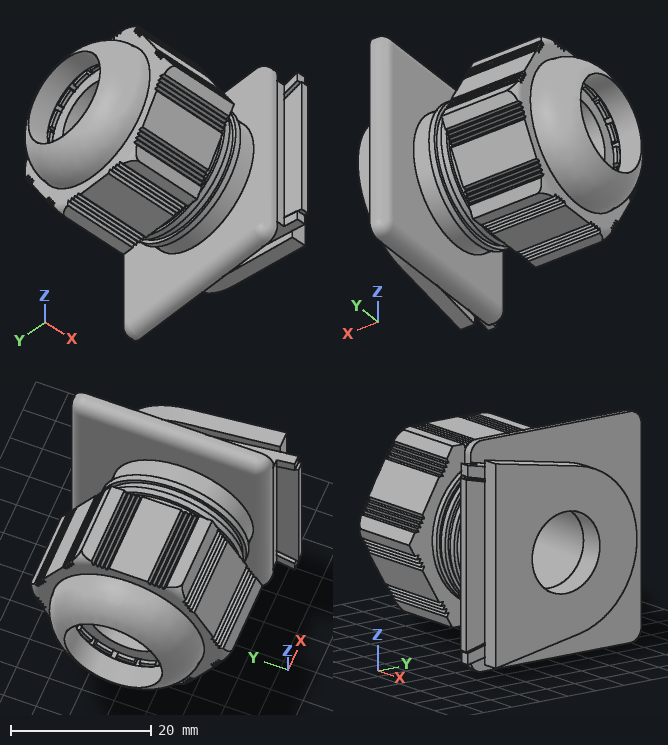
import cadquery as cq
import math


mouth_depth = 3.7
finger_front = 4.75
seal_front = 5.35
hex_front = 5.82
finger_root = 8.0
nut_back = 18.66
flange_front = 26.88
flange_back = 29.6
foot_back = 32.46
neck_back = 32.7
gland_length = 35.26

mouth_diameter = 15.0
dome_face_radius = mouth_diameter / 2
dome_base_radius = 11.65
across_flats = 26.8
flat_count = 6
corner_rounding = 1.65
notch_pitch = 0.69
notches_per_group = 4
notch_start = 2.0

cable_diameter = 12.1
seal_diameter = 16.55
finger_ring_diameter = 18.05
finger_count = 15
finger_gap = 0.8

tube_diameter = 21.51
thread_diameter = 22.67
thread_width = 0.95
thread_starts = (nut_back, 20.71, 22.83)

flange_height = 34.15
flange_y_max = 17.76
flange_y_min = -12.77
flange_rounding = 2.0

foot_radius = 11.1
foot_centre_y = 0.4
foot_taper = 12.0
foot_plate_thickness = 1.4
foot_end_y = -12.7
tab_end_y = -15.48
pocket_radius = 18.05 / 2
pocket_taper = 13.5
pad_height = 0.4
pad_radius = 11.1
pad_half_width = 9.04

neck_radius = 8.5
neck_taper = 14.0
neck_end_y = -15.9
lock_radius = 12.58
lock_centre_y = 0.1
lock_taper = 10.3
lock_end_y = -12.57


def cylinder(diameter, start, end):
    """Solid cylinder on the gland axis between two stations."""
    return cq.Workplane("YZ", origin=(start, 0, 0)).circle(diameter / 2).extrude(end - start)


def tapered_plate(radius, centre_y, taper, end_y, start, end):
    """Plate with a round top whose tangent sides spread by the taper angle down to end_y."""
    angle = math.radians(taper)
    tangent_y = centre_y + radius * math.sin(angle)
    tangent_z = radius * math.cos(angle)
    end_z = tangent_z + (tangent_y - end_y) * math.tan(angle)
    return (
        cq.Workplane("YZ", origin=(start, 0, 0))
        .moveTo(end_y, -end_z)
        .lineTo(tangent_y, -tangent_z)
        .threePointArc((centre_y + radius, 0), (tangent_y, tangent_z))
        .lineTo(end_y, end_z)
        .close()
        .extrude(end - start)
    )


def make_hexagon():
    """Hexagonal grip with V notches near its corners and rounded front corners."""
    length = nut_back - hex_front
    corner_radius = across_flats / 2 / math.cos(math.pi / flat_count)
    grip = (
        cq.Workplane("YZ", origin=(hex_front, 0, 0))
        .polygon(flat_count, 2 * corner_radius)
        .extrude(length)
    )
    envelope = cylinder(2 * corner_radius, hex_front, nut_back).faces("<X").edges().fillet(corner_rounding)
    grip = grip.intersect(envelope)

    flat_z = across_flats / 2
    notch_depth = notch_pitch * math.sqrt(3) / 2
    group_width = notches_per_group * notch_pitch
    half_side = corner_radius / 2
    for group_start in (-half_side + notch_start, half_side - notch_start - group_width):
        outline = cq.Workplane("YZ", origin=(hex_front, 0, 0)).moveTo(group_start, flat_z)
        for notch in range(notches_per_group):
            left = group_start + notch * notch_pitch
            outline = outline.lineTo(left + notch_pitch / 2, flat_z - notch_depth)
            outline = outline.lineTo(left + notch_pitch, flat_z)
        cutter = (
            outline.lineTo(group_start + group_width, flat_z + notch_depth)
            .lineTo(group_start, flat_z + notch_depth)
            .close()
            .extrude(length)
        )
        for flat in range(flat_count):
            turn = flat * 360 / flat_count
            grip = grip.cut(cutter.rotate((0, 0, 0), (1, 0, 0), turn))
    return grip


def make_nut():
    """Domed clamping nut, bored to fit over the fingers and the tube."""
    rise = dome_base_radius - dome_face_radius
    arc_radius = (hex_front**2 + rise**2) / (2 * rise)
    arc_centre = dome_base_radius - arc_radius
    half_angle = math.asin(hex_front / arc_radius) / 2
    arc_middle = (
        hex_front - arc_radius * math.sin(half_angle),
        arc_centre + arc_radius * math.cos(half_angle),
    )
    dome = (
        cq.Workplane("XY")
        .moveTo(0, 0)
        .lineTo(0, dome_face_radius)
        .threePointArc(arc_middle, (hex_front, dome_base_radius))
        .lineTo(hex_front, 0)
        .close()
        .revolve(360, (0, 0, 0), (1, 0, 0))
    )
    return (
        dome.union(make_hexagon())
        .cut(cylinder(mouth_diameter, 0, mouth_depth))
        .cut(cylinder(finger_ring_diameter, mouth_depth, finger_root))
        .cut(cylinder(tube_diameter, finger_root, nut_back))
    )


def make_seal():
    """Sealing sleeve around the cable."""
    return cylinder(seal_diameter, seal_front, nut_back).cut(cylinder(cable_diameter, seal_front, nut_back))


def make_tube():
    """Solid tube with thread ridges and a smaller front end for the clamping fingers."""
    tube = cylinder(tube_diameter, finger_root, flange_front)
    for start in thread_starts:
        tube = tube.union(cylinder(thread_diameter, start, start + thread_width))
    return tube.union(cylinder(finger_ring_diameter, finger_front, finger_root))


def make_flange():
    """Rectangular flange with its front and corner edges rounded."""
    return (
        cq.Workplane("XY")
        .box(
            flange_back - flange_front,
            flange_y_max - flange_y_min,
            flange_height,
            centered=(False, False, True),
        )
        .translate((flange_front, flange_y_min, 0))
        .edges("|X")
        .fillet(flange_rounding)
        .faces("<X")
        .edges()
        .fillet(flange_rounding)
    )


def make_foot():
    """Tapered foot with a pocket for the lock neck and a low pad on the pocket floor."""
    floor = flange_back + foot_plate_thickness
    plate = tapered_plate(foot_radius, foot_centre_y, foot_taper, foot_end_y, flange_back, floor)
    rim = tapered_plate(foot_radius, foot_centre_y, foot_taper, tab_end_y, floor, foot_back)
    pocket = tapered_plate(pocket_radius, 0, pocket_taper, tab_end_y, floor, foot_back)

    pad_flat_y = -math.sqrt(pad_radius**2 - pad_half_width**2)
    pad_top = floor + pad_height
    pad = (
        cq.Workplane("YZ", origin=(floor, 0, 0))
        .moveTo(pad_flat_y, -pad_half_width)
        .threePointArc((pad_radius, 0), (pad_flat_y, pad_half_width))
        .close()
        .extrude(pad_top - floor)
        .intersect(pocket)
    )
    return plate.union(rim.cut(pocket)).union(pad)


def make_finger_slots():
    """Radial slots that split the front end of the tube into clamping fingers."""
    slot = (
        cq.Workplane("XY")
        .box(finger_root - finger_front, finger_gap, finger_ring_diameter, centered=(False, True, False))
        .translate((finger_front, 0, 0))
    )
    return [slot.rotate((0, 0, 0), (1, 0, 0), finger * 360 / finger_count) for finger in range(finger_count)]


def make_gland_body():
    """Tube, flange and foot in one piece, bored for the seal and the cable."""
    body = (
        make_tube()
        .union(make_flange())
        .union(make_foot())
        .cut(cylinder(seal_diameter, finger_front, nut_back))
        .cut(cylinder(cable_diameter, nut_back, foot_back))
    )
    for slot in make_finger_slots():
        body = body.cut(slot)
    return body


def make_lock():
    """Lock plate whose neck slides into the pocket of the foot."""
    neck_front = flange_back + foot_plate_thickness + pad_height
    neck = tapered_plate(neck_radius, 0, neck_taper, neck_end_y, neck_front, neck_back)
    plate = tapered_plate(lock_radius, lock_centre_y, lock_taper, lock_end_y, neck_back, gland_length)
    return neck.union(plate).cut(cylinder(cable_diameter, neck_front, gland_length))


nut = make_nut()
seal = make_seal()
gland_body = make_gland_body()
lock = make_lock()

result = cq.Compound.makeCompound([nut.val(), seal.val(), gland_body.val(), lock.val()])